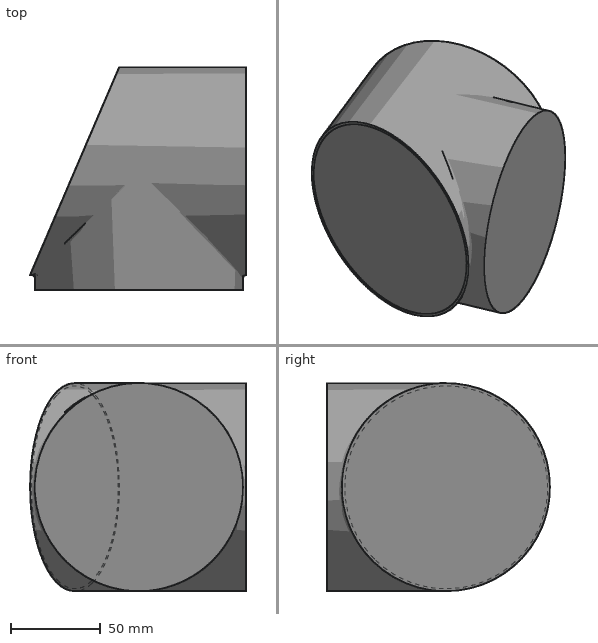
import cadquery as cq

PIPE_DIAMETER = 116.0
SQUARE_END_X = 59.7
SLANT_TIP_X = -60.72
SLANT_TOP_X = -11.0
BRANCH_END_Y = -66.28
CORNER_RADIUS = 1.65
RIM_WIDTH = 1.5
RECESS_DEPTH = 0.1

RADIUS = PIPE_DIAMETER / 2
TOLERANCE = 0.01


def slanted_bar(radius, slant_offset):
    """Round bar along X, square at +X, its slanted -X face shifted inward by slant_offset."""
    tip_x = SLANT_TIP_X + slant_offset
    side_outline = (
        cq.Workplane("XY")
        .moveTo(tip_x, -RADIUS)
        .lineTo(SQUARE_END_X, -RADIUS)
        .lineTo(SQUARE_END_X, RADIUS)
        .lineTo(SLANT_TOP_X + slant_offset, RADIUS)
        .close()
        .extrude(RADIUS, both=True)
    )
    round_bar = (
        cq.Workplane("YZ", origin=(tip_x, 0, 0))
        .circle(radius)
        .extrude(SQUARE_END_X - tip_x)
    )
    return round_bar.intersect(side_outline)


def branch_cylinder():
    """Cylinder along -Y, mitred at 45 degrees where it meets the main cylinder."""
    mitre_outline = (
        cq.Workplane("XY")
        .moveTo(0, 0)
        .lineTo(-RADIUS, -RADIUS)
        .lineTo(-RADIUS, BRANCH_END_Y)
        .lineTo(RADIUS, BRANCH_END_Y)
        .lineTo(RADIUS, -RADIUS)
        .close()
        .extrude(RADIUS, both=True)
    )
    round_bar = cq.Workplane("XZ").circle(RADIUS).extrude(-BRANCH_END_Y)
    return round_bar.intersect(mitre_outline)


def is_joint_edge(edge):
    """True for the four quarter ellipses where the two cylinders meet."""
    box = edge.BoundingBox()
    spans_radius = all(
        abs(length - RADIUS) < TOLERANCE for length in (box.xlen, box.ylen, box.zlen)
    )
    return spans_radius and box.ymax < TOLERANCE


def fillet_joint(joined):
    """Round the inside corner along the mitred joint."""
    joint_edges = [edge for edge in joined.edges().vals() if is_joint_edge(edge)]
    return joined.newObject(joint_edges).fillet(CORNER_RADIUS)


def slant_recess():
    """Thin disc that leaves a narrow raised rim around the slanted face."""
    disc_radius = RADIUS - RIM_WIDTH
    return slanted_bar(disc_radius, 0).cut(slanted_bar(disc_radius, RECESS_DEPTH))


body = slanted_bar(RADIUS, 0).union(branch_cylinder())
result = fillet_joint(body).cut(slant_recess())